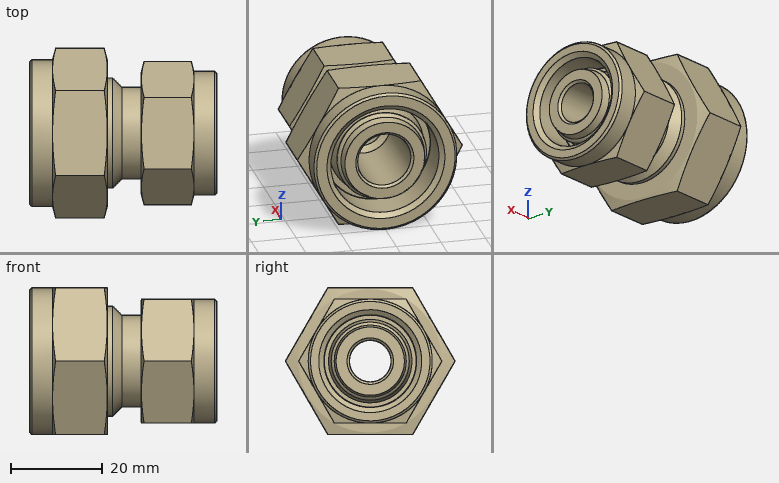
import cadquery as cq
import math


overall_length = 40.75
neck_start = 20.05

collar_length = 5.0
collar_chamfer = 0.5
hex_chamfer_angle = 15.0
hex_rear_ratio = 0.975
mouth_depth = 0.95
mouth_widening = 1.1
bore_clearance = 0.1
nose_setback = 1.0
cone_half_angle = 12.0
cone_rise = 1.65
bore_chamfer = 0.55
seal_section_radius = 1.0
seal_depth = 2.9
seal_projection = 0.45

cone_slope = math.tan(math.radians(cone_half_angle))
hex_chamfer_slope = math.tan(math.radians(hex_chamfer_angle))
cone_length = cone_rise / cone_slope
flange_depth = nose_setback + cone_length

large_flats = 32.0
large_nut_length = 17.0
large_body_radius = 12.0
large_tip_radius = 8.93
large_bore_radius = 5.95

small_flats = 27.0
small_nut_length = 16.5
small_body_radius = 10.0
small_tip_radius = 7.43
small_bore_radius = 4.5

drill_point_half_angle = 59.0
large_bore_end = overall_length / 2


def revolve_about_x(outline):
    """Turn an (axial, radial) outline about the X axis."""
    return cq.Workplane("XY").polyline(outline).close().revolve(360, (0, 0), (1, 0))


def make_nut(flats, length, body_radius):
    """Union nut with its open mouth at X = 0."""
    collar_radius = flats / 2
    corner_radius = flats / math.sqrt(3)
    rear_radius = collar_radius * hex_rear_ratio
    front_drop = (corner_radius - collar_radius) * hex_chamfer_slope
    rear_drop = (corner_radius - rear_radius) * hex_chamfer_slope
    thread_radius = body_radius + bore_clearance

    hexagon = cq.Workplane("YZ").polygon(6, 2 * corner_radius).extrude(length)
    collar_outline = [
        (0, 0),
        (0, collar_radius - collar_chamfer),
        (collar_chamfer, collar_radius),
        (collar_length, collar_radius),
    ]
    collar = revolve_about_x(collar_outline + [(collar_length, 0)])
    turned_blank = revolve_about_x(collar_outline + [
        (collar_length + front_drop, corner_radius),
        (length - rear_drop, corner_radius),
        (length, rear_radius),
        (length, 0),
    ])
    cavity = revolve_about_x([
        (0, 0),
        (0, thread_radius + mouth_widening),
        (mouth_depth, thread_radius),
        (flange_depth, thread_radius),
        (flange_depth, body_radius),
        (length, body_radius),
        (length, 0),
    ])
    return hexagon.intersect(turned_blank).union(collar).cut(cavity)


def face_the_other_way(small_end_part):
    """Turn a part that opens at X = 0 so that it opens at the far end."""
    return small_end_part.rotate((0, 0, 0), (0, 0, 1), 180).translate((overall_length, 0, 0))


def make_seal_bead(tip_radius):
    """Rounded seal ring seated in the cone, for an end opening at X = 0."""
    surface_radius = tip_radius + seal_depth * cone_slope
    ring_radius = surface_radius + seal_projection - seal_section_radius
    return (
        cq.Workplane("XY")
        .center(nose_setback + seal_depth, ring_radius)
        .circle(seal_section_radius)
        .revolve(360, (0, -ring_radius), (1, -ring_radius))
    )


def make_body():
    """Turned body with both sealing cones, seal beads and the stepped bore."""
    far_tip = overall_length - nose_setback
    far_flange = overall_length - flange_depth
    shoulder_start = neck_start - (large_body_radius - small_body_radius)
    bore_step = large_bore_radius - small_bore_radius
    drill_point = bore_step / math.tan(math.radians(drill_point_half_angle))

    shell = revolve_about_x([
        (nose_setback, large_bore_radius + bore_chamfer),
        (nose_setback, large_tip_radius),
        (flange_depth, large_tip_radius + cone_rise),
        (flange_depth, large_body_radius),
        (shoulder_start, large_body_radius),
        (neck_start, small_body_radius),
        (far_flange, small_body_radius),
        (far_flange, small_tip_radius + cone_rise),
        (far_tip, small_tip_radius),
        (far_tip, small_bore_radius + bore_chamfer),
        (far_tip - bore_chamfer, small_bore_radius),
        (large_bore_end + drill_point, small_bore_radius),
        (large_bore_end, large_bore_radius),
        (nose_setback + bore_chamfer, large_bore_radius),
    ])
    large_bead = make_seal_bead(large_tip_radius)
    small_bead = face_the_other_way(make_seal_bead(small_tip_radius))
    return shell.union(large_bead).union(small_bead)


body = make_body()
large_nut = make_nut(large_flats, large_nut_length, large_body_radius)
small_nut = face_the_other_way(make_nut(small_flats, small_nut_length, small_body_radius))

result = cq.Compound.makeCompound([body.val(), large_nut.val(), small_nut.val()])